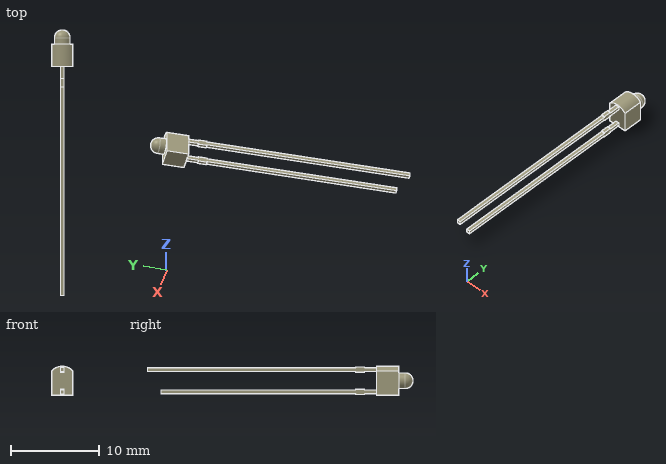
import cadquery as cq

OVERALL_LENGTH = 30.1

BODY_WIDTH = 2.4
BODY_LENGTH = 2.53
BODY_HEIGHT = 3.3
CROWN_RISE = 0.55

LENS_RADIUS = 0.9
LENS_STEM_LENGTH = 0.72

LEAD_SIZE = 0.45
LEAD_SPACING = 2.53
LEAD_LENGTH_DIFFERENCE = 1.55
COLLAR_HEIGHT = 0.63
COLLAR_LENGTH = 1.0
COLLAR_OFFSET = 1.35

MID_HEIGHT = BODY_HEIGHT / 2
LONG_LEAD_LENGTH = OVERALL_LENGTH - BODY_LENGTH - LENS_STEM_LENGTH - LENS_RADIUS
SHORT_LEAD_LENGTH = LONG_LEAD_LENGTH - LEAD_LENGTH_DIFFERENCE


def make_body():
    """Block with flat sides and an arched top, extruded toward +Y."""
    half_width = BODY_WIDTH / 2
    side_height = BODY_HEIGHT - CROWN_RISE
    return (
        cq.Workplane("XZ")
        .moveTo(-half_width, 0)
        .lineTo(half_width, 0)
        .lineTo(half_width, side_height)
        .threePointArc((0, BODY_HEIGHT), (-half_width, side_height))
        .close()
        .extrude(-BODY_LENGTH)
    )


def make_lens():
    """Round stem with a hemispherical end, revolved about its own axis along Y."""
    stem_end = BODY_LENGTH + LENS_STEM_LENGTH
    lens_tip = stem_end + LENS_RADIUS
    lens_root = BODY_LENGTH / 2
    return (
        cq.Workplane("XY", origin=(0, 0, MID_HEIGHT))
        .moveTo(0, lens_root)
        .lineTo(LENS_RADIUS, lens_root)
        .lineTo(LENS_RADIUS, stem_end)
        .radiusArc((0, lens_tip), -LENS_RADIUS)
        .close()
        .revolve(360, (0, 0, 0), (0, 1, 0))
    )


def make_lead(length, height):
    """Square lead at the given height, with a collar that is taller but no wider."""
    wire = (
        cq.Workplane("XZ", origin=(0, 0, height))
        .rect(LEAD_SIZE, LEAD_SIZE)
        .extrude(length)
    )
    collar = (
        cq.Workplane("XZ", origin=(0, -COLLAR_OFFSET, height))
        .rect(LEAD_SIZE, COLLAR_HEIGHT)
        .extrude(COLLAR_LENGTH)
    )
    return wire.union(collar)


upper_lead = make_lead(LONG_LEAD_LENGTH, MID_HEIGHT + LEAD_SPACING / 2)
lower_lead = make_lead(SHORT_LEAD_LENGTH, MID_HEIGHT - LEAD_SPACING / 2)

result = make_body().union(make_lens()).union(upper_lead).union(lower_lead)